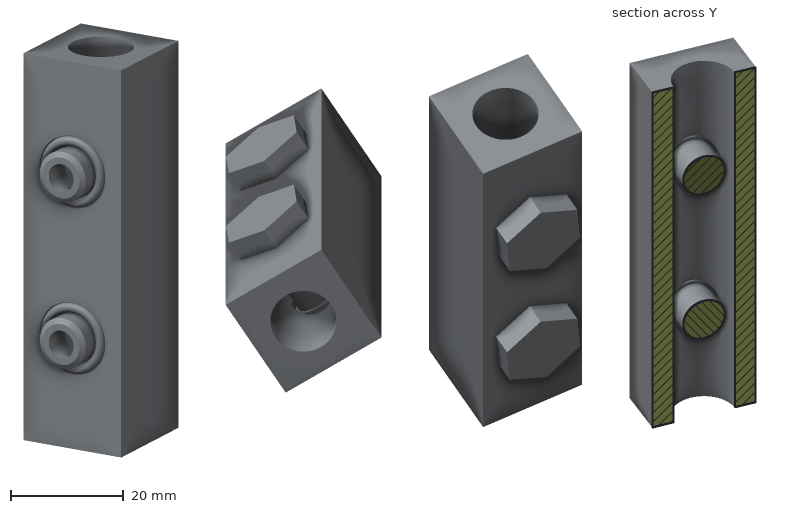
import cadquery as cq

length = 72.0
side = 20.0
bore_diameter = 11.7
bolt_spacing = 30.95
front = -side / 2
back = side / 2

land_diameter = 9.4
neck_diameter = 8.1
neck_front = -4.9
neck_back = 5.55
head_across_corners = 16.4
head_height = 4.0
head_turn = 4.0
tip_length = 3.95
tip_chamfer_length = 0.6
tip_face_diameter = 7.55
tip_hole_diameter = 5.1
tip_hole_depth = 5.75
tip = front - tip_length

ring_section = 1.9
ring_protrusion = 0.6
ring_mean_diameter = land_diameter + ring_section
groove_diameter = 13.5
groove_depth = ring_section - ring_protrusion

bolt_heights = [-bolt_spacing / 2, bolt_spacing / 2]


def cylinder_along_y(diameter, start, end, height):
    """Cylinder on the bolt axis at the given height, from Y = start to Y = end."""
    plane = cq.Plane(origin=(0, start, height), xDir=(1, 0, 0), normal=(0, 1, 0))
    return cq.Workplane(plane).circle(diameter / 2).extrude(end - start)


def make_housing():
    bar = cq.Workplane("XY").box(side, side, length)
    bore = cq.Workplane("XY").circle(bore_diameter / 2).extrude(length / 2, both=True)
    housing = bar.cut(bore)
    for height in bolt_heights:
        housing = housing.cut(cylinder_along_y(land_diameter, front, back, height))
        housing = housing.cut(cylinder_along_y(groove_diameter, front, front + groove_depth, height))
    return housing


def make_bolt(height):
    land_radius = land_diameter / 2
    neck_radius = neck_diameter / 2
    profile = [
        (0, tip),
        (tip_face_diameter / 2, tip),
        (land_radius, tip + tip_chamfer_length),
        (land_radius, neck_front),
        (neck_radius, neck_front),
        (neck_radius, neck_back),
        (land_radius, neck_back),
        (land_radius, back),
        (0, back),
    ]
    body = cq.Workplane("XY").polyline(profile).close().revolve(360, (0, 0), (0, 1))
    body = body.translate((0, 0, height))

    head_plane = cq.Plane(origin=(0, back, height), xDir=(0, 0, 1), normal=(0, 1, 0))
    head = cq.Workplane(head_plane).polygon(6, head_across_corners).extrude(head_height)
    head = head.rotate((0, 0, height), (0, 1, height), head_turn)

    tip_hole = cylinder_along_y(tip_hole_diameter, tip, tip + tip_hole_depth, height)
    return body.union(head).cut(tip_hole)


def make_sealing_ring(height):
    section_center_y = front - ring_protrusion + ring_section / 2
    section = cq.Workplane("XY").center(ring_mean_diameter / 2, section_center_y).circle(ring_section / 2)
    ring_axis_x = -ring_mean_diameter / 2
    ring = section.revolve(360, (ring_axis_x, 0), (ring_axis_x, 1))
    return ring.translate((0, 0, height))


housing = make_housing()
bolts = [make_bolt(height).val() for height in bolt_heights]
sealing_rings = [make_sealing_ring(height).val() for height in bolt_heights]

result = cq.Compound.makeCompound([housing.val(), *bolts, *sealing_rings])